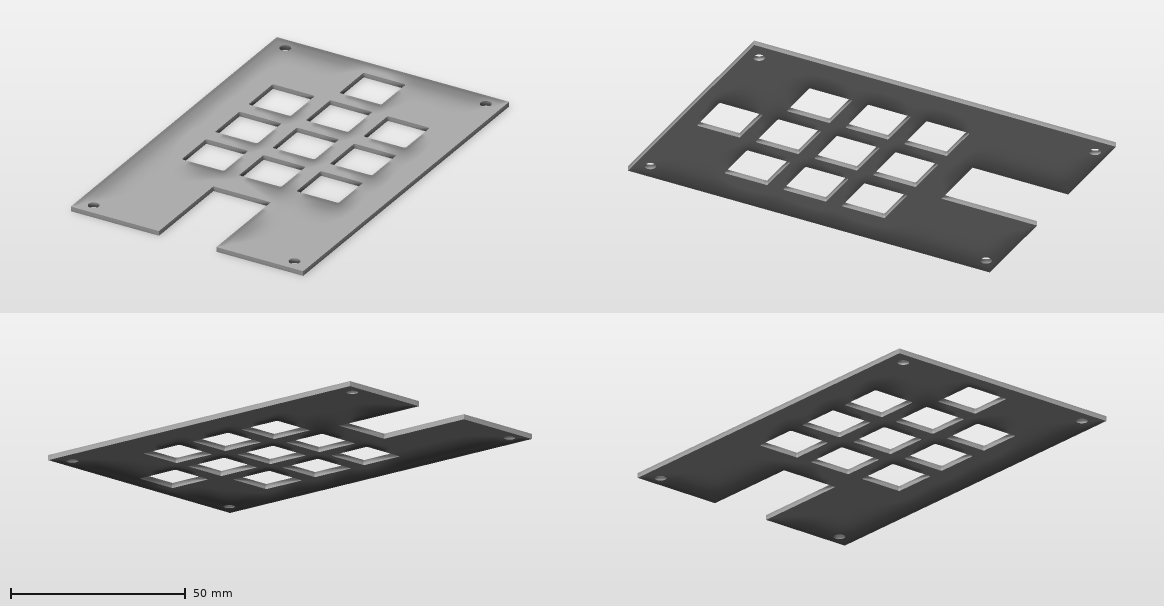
import cadquery as cq

plate_width = 77.0
plate_length = 117.4
plate_thickness = 1.5

window_size = 14.0
window_corner_radius = 0.5
window_pitch = 19.0
middle_column_x = 39.2
top_window_y = 104.5
grid_rows = 3

notch_left = 29.2
notch_width = 19.0
notch_depth = 31.0

hole_diameter = 3.4
left_hole_x = 5.4
lower_left_hole_x = 5.3
right_hole_x = 71.8
lower_hole_y = 4.0
upper_hole_y = 112.9
hole_centers = [
    (lower_left_hole_x, lower_hole_y),
    (right_hole_x, lower_hole_y),
    (left_hole_x, upper_hole_y),
    (right_hole_x, upper_hole_y),
]


def make_windows():
    """Rounded square cutters for all key windows."""
    centers = [(middle_column_x, top_window_y)]
    for row in range(1, grid_rows + 1):
        for column in (-1, 0, 1):
            x = middle_column_x + column * window_pitch
            y = top_window_y - row * window_pitch
            centers.append((x, y))
    return (
        cq.Workplane("XY")
        .pushPoints(centers)
        .rect(window_size, window_size)
        .extrude(plate_thickness)
        .edges("|Z")
        .fillet(window_corner_radius)
    )


def make_notch():
    """Rectangular cutter for the open notch."""
    return cq.Workplane("XY").box(
        notch_width, notch_depth, plate_thickness, centered=False
    ).translate((notch_left, 0, 0))


def make_holes():
    """Cylindrical cutters for the mounting holes."""
    return (
        cq.Workplane("XY")
        .pushPoints(hole_centers)
        .circle(hole_diameter / 2)
        .extrude(plate_thickness)
    )


plate = cq.Workplane("XY").box(plate_width, plate_length, plate_thickness, centered=False)
result = plate.cut(make_windows()).cut(make_notch()).cut(make_holes())